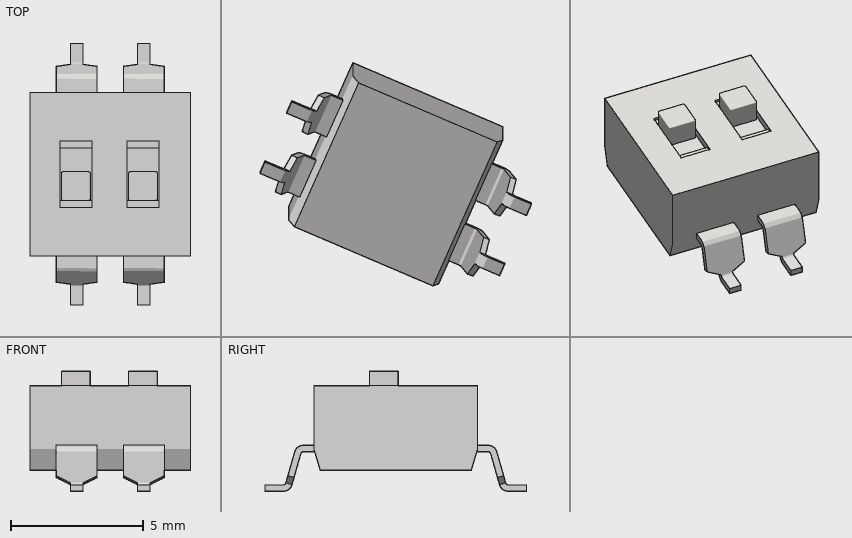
import cadquery as cq
import math


body_width = 6.08
body_length = 6.2
body_height = 3.2
standoff = 0.8
bottom_taper_height = 0.8
bottom_taper_inset = 0.24
body_top = standoff + body_height

pitch = 2.54
lead_centers = (-pitch / 2, pitch / 2)
switch_shift = -0.03
switch_centers = [x + switch_shift for x in lead_centers]

window_width = 1.2
window_length = 2.5
ledge_length = 0.25
ledge_depth = 0.1
floor_depth = 0.3

actuator_size = 1.1
actuator_height = 0.55
actuator_corner_radius = 0.08
actuator_top_radius = 0.03
actuator_center_y = -window_length / 2 + ledge_length + actuator_size / 2

lead_span = 9.9
lead_thickness = 0.25
lead_top = 1.75
lead_width = 1.55
foot_width = 0.48
foot_flat = 0.69
inner_bend = 0.1
outer_bend = inner_bend + lead_thickness
leg_angle = math.radians(16)
shoulder_height = 0.28
lead_embed = 0.2


def on_arc(center, radius, angle):
    """Point (y, z) on a circle at an angle measured from +Y toward +Z."""
    return (center[0] + radius * math.cos(angle), center[1] + radius * math.sin(angle))


vertical = math.pi / 2
leg_normal = leg_angle
lower_bend_center = (lead_span / 2 - foot_flat, outer_bend)
upper_bend_z = lead_top - outer_bend
radius_sum = inner_bend + outer_bend
bend_rise = upper_bend_z - lower_bend_center[1]
leg_length = (bend_rise + radius_sum * math.sin(leg_angle)) / math.cos(leg_angle)
bend_run = radius_sum * math.cos(leg_angle) + leg_length * math.sin(leg_angle)
upper_bend_center = (lower_bend_center[0] - bend_run, upper_bend_z)
neck_point = on_arc(lower_bend_center, inner_bend, leg_normal + math.pi)


def make_body():
    """Block with its lower front and back faces leaning inward."""
    half = body_length / 2
    half_bottom = half - bottom_taper_inset
    taper_top = standoff + bottom_taper_height
    return (
        cq.Workplane("YZ")
        .polyline([
            (-half_bottom, standoff),
            (half_bottom, standoff),
            (half, taper_top),
            (half, body_top),
            (-half, body_top),
            (-half, taper_top),
        ])
        .close()
        .extrude(body_width / 2, both=True)
    )


def make_window(x):
    """Cutter for one window: a shallow opening with a deeper floor between two ledges."""
    floor_length = window_length - 2 * ledge_length
    opening = cq.Workplane(origin=(x, 0, body_top)).rect(window_width, window_length).extrude(-ledge_depth)
    well = cq.Workplane(origin=(x, 0, body_top)).rect(window_width, floor_length).extrude(-floor_depth)
    return opening.union(well)


def make_actuator(x):
    """Square slider standing on the window floor."""
    return (
        cq.Workplane(origin=(x, actuator_center_y, body_top - floor_depth))
        .rect(actuator_size, actuator_size)
        .extrude(floor_depth + actuator_height)
        .edges("|Z")
        .fillet(actuator_corner_radius)
        .faces(">Z")
        .edges()
        .fillet(actuator_top_radius)
    )


def lead_strip(x, width):
    """Bent strip of the given width on the +Y side: flat arm, leaning leg and flat foot."""
    upper_middle = (vertical + leg_normal) / 2
    lower_middle = upper_middle + math.pi
    arm_start = body_length / 2 - lead_embed
    tip = lead_span / 2
    return (
        cq.Workplane("YZ", origin=(x, 0, 0))
        .moveTo(arm_start, lead_top)
        .lineTo(*on_arc(upper_bend_center, outer_bend, vertical))
        .threePointArc(
            on_arc(upper_bend_center, outer_bend, upper_middle),
            on_arc(upper_bend_center, outer_bend, leg_normal),
        )
        .lineTo(*neck_point)
        .threePointArc(
            on_arc(lower_bend_center, inner_bend, lower_middle),
            on_arc(lower_bend_center, inner_bend, -vertical),
        )
        .lineTo(tip, lead_thickness)
        .lineTo(tip, 0)
        .lineTo(*on_arc(lower_bend_center, outer_bend, -vertical))
        .threePointArc(
            on_arc(lower_bend_center, outer_bend, lower_middle),
            on_arc(lower_bend_center, outer_bend, leg_normal + math.pi),
        )
        .lineTo(*on_arc(upper_bend_center, inner_bend, leg_normal))
        .threePointArc(
            on_arc(upper_bend_center, inner_bend, upper_middle),
            on_arc(upper_bend_center, inner_bend, vertical),
        )
        .lineTo(arm_start, lead_top - lead_thickness)
        .close()
        .extrude(width / 2, both=True)
    )


def make_shoulder_prism(x):
    """Prism square to the leg that encloses the wide part of a lead and its tapered shoulders."""
    neck_y, neck_z = neck_point
    leg_plane = cq.Plane(
        origin=(x, neck_y, neck_z),
        xDir=(-1, 0, 0),
        normal=(0, math.cos(leg_normal), math.sin(leg_normal)),
    )
    reach = lead_span / 2
    return (
        cq.Workplane(leg_plane)
        .polyline([
            (-foot_width / 2, 0),
            (foot_width / 2, 0),
            (lead_width / 2, shoulder_height),
            (lead_width / 2, reach),
            (-lead_width / 2, reach),
            (-lead_width / 2, shoulder_height),
        ])
        .close()
        .extrude(reach, both=True)
    )


def make_lead(x):
    """Wide arm and leg whose shoulders taper down to a narrow foot."""
    wide_part = lead_strip(x, lead_width).intersect(make_shoulder_prism(x))
    return lead_strip(x, foot_width).union(wide_part)


result = make_body()
for x in switch_centers:
    result = result.cut(make_window(x)).union(make_actuator(x))
for x in lead_centers:
    lead = make_lead(x)
    result = result.union(lead).union(lead.mirror("XZ"))